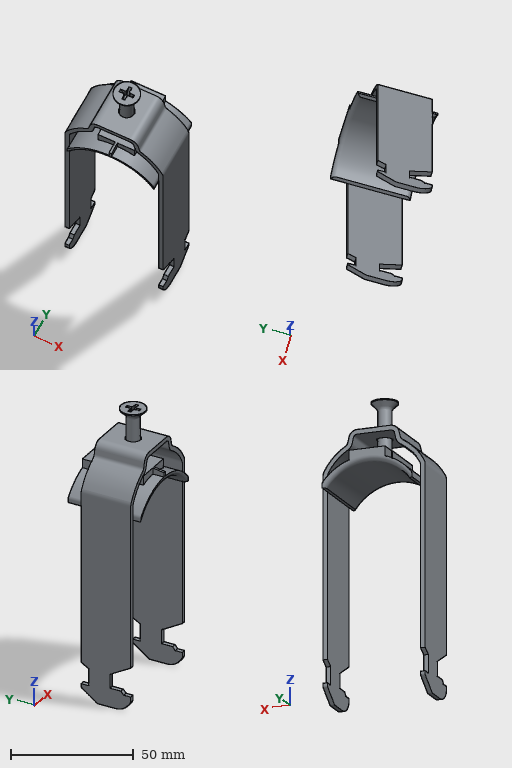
import cadquery as cq
import math


total_height = 128.0
overall_width = 45.0

strap_thickness = 2.0
strap_depth = 23.2
strap_center_y = 0.1
crown_height = 114.0
crown_corner_x = 10.4
neck_lean = 13.0
shoulder_radius = 25.0
shoulder_center_z = 85.9
crown_bend_radius = 3.8
neck_bend_radius = 2.0
leg_bend_radius = 4.6
clearance_hole_diameter = 6.7

leg_half_depth = strap_depth / 2
shank_back_y = 8.0
shank_front_y = -1.9
shank_top_z = 15.2
back_taper_z = 17.3
front_taper_z = 20.7
lip_z = 7.3
step_z = 8.8
step_inner_y = -7.0
step_outer_y = -8.3
toe_arc_y = -4.4
toe_arc_z = 5.0
heel_y = 3.8
heel_z = 5.6
heel_radius = 1.3

saddle_back_y = 19.3
saddle_length = 34.0
saddle_front_y = saddle_back_y - saddle_length
saddle_half_width = 19.8
saddle_crown_z = 100.1
saddle_radius = 25.1
saddle_thickness = 2.4
saddle_bottom_z = 88.3
saddle_rim_radius = 2.0
saddle_corner_radius = 2.2
saddle_axis_z = saddle_crown_z - saddle_radius

block_half_width = 8.3
block_tail_half_width = 8.0
block_front_y = -9.5
block_tail_y = 12.4
block_top_z = 102.9
rib_width = 1.2
rib_tip_z = 102.1

shaft_radius = 3.0
head_radius = 5.6
head_rim = 0.5
neck_fillet = 1.5
recess_half_length = 3.2
recess_arm_width = 1.3
recess_core_radius = 1.3
recess_depth = 3.3
recess_tip_depth = 0.6


def fillet_at(body, axis, u, v, radius):
    """Fillet the straight edge parallel to `axis` that passes through (u, v) on the other two axes."""
    reach = 0.06
    span = total_height
    if axis == "X":
        low, high = (-span, u - reach, v - reach), (span, u + reach, v + reach)
    else:
        low, high = (u - reach, -span, v - reach), (u + reach, span, v + reach)
    return body.edges("|" + axis).edges(cq.selectors.BoxSelector(low, high)).fillet(radius)



def neck_foot():
    """Point where the leaning neck line meets the shoulder circle."""
    lean = math.tan(math.radians(neck_lean))
    reach = crown_corner_x + lean * (crown_height - shoulder_center_z)
    a = 1 + lean ** 2
    b = reach * lean
    c = reach ** 2 - shoulder_radius ** 2
    rise = (b + math.sqrt(b ** 2 - a * c)) / a
    return reach - lean * rise, shoulder_center_z + rise


def strap_envelope():
    """Solid filling the outer outline of the bent strap."""
    half_width = overall_width / 2
    neck_x, neck_z = neck_foot()
    leg_z = shoulder_center_z + math.sqrt(shoulder_radius ** 2 - half_width ** 2)
    neck_angle = math.acos(neck_x / shoulder_radius)
    leg_angle = math.acos(half_width / shoulder_radius)
    middle_angle = (neck_angle + leg_angle) / 2
    arc_x = shoulder_radius * math.cos(middle_angle)
    arc_z = shoulder_center_z + shoulder_radius * math.sin(middle_angle)
    body = (
        cq.Workplane("XZ")
        .moveTo(-half_width, 0)
        .lineTo(-half_width, leg_z)
        .threePointArc((-arc_x, arc_z), (-neck_x, neck_z))
        .lineTo(-crown_corner_x, crown_height)
        .lineTo(crown_corner_x, crown_height)
        .lineTo(neck_x, neck_z)
        .threePointArc((arc_x, arc_z), (half_width, leg_z))
        .lineTo(half_width, 0)
        .close()
        .extrude(leg_half_depth, both=True)
    )
    for side in (-1, 1):
        body = fillet_at(body, "Y", side * crown_corner_x, crown_height, crown_bend_radius)
        body = fillet_at(body, "Y", side * neck_x, neck_z, neck_bend_radius)
        body = fillet_at(body, "Y", side * half_width, leg_z, leg_bend_radius)
    return body


def toe_arc_middle():
    """Middle point of the toe arc, which leaves the flat sole tangentially."""
    run = leg_half_depth + toe_arc_y
    radius = (run ** 2 + toe_arc_z ** 2) / (2 * toe_arc_z)
    half_angle = math.asin(run / radius) / 2
    return toe_arc_y - radius * math.sin(half_angle), radius * (1 - math.cos(half_angle))


def leg_silhouette():
    """Side silhouette with hooked feet, as a solid spanning the whole strap width."""
    body = (
        cq.Workplane("YZ")
        .moveTo(-leg_half_depth, crown_height)
        .lineTo(-leg_half_depth, front_taper_z)
        .lineTo(shank_front_y, shank_top_z)
        .lineTo(shank_front_y, step_z)
        .lineTo(step_inner_y, step_z)
        .lineTo(step_outer_y, lip_z)
        .lineTo(-leg_half_depth, lip_z)
        .lineTo(-leg_half_depth, toe_arc_z)
        .threePointArc(toe_arc_middle(), (toe_arc_y, 0))
        .lineTo(heel_y, 0)
        .lineTo(leg_half_depth, heel_z)
        .lineTo(leg_half_depth, lip_z)
        .lineTo(shank_back_y, lip_z)
        .lineTo(shank_back_y, shank_top_z)
        .lineTo(leg_half_depth, back_taper_z)
        .lineTo(leg_half_depth, crown_height)
        .close()
        .extrude(overall_width, both=True)
    )
    body = fillet_at(body, "X", heel_y, 0, heel_radius)
    return fillet_at(body, "X", leg_half_depth, heel_z, heel_radius)


def make_strap():
    sheet = strap_envelope().faces("<Z or <Y or >Y").shell(-strap_thickness)
    strap = sheet.intersect(leg_silhouette()).translate((0, strap_center_y, 0))
    screw_hole = (
        cq.Workplane("XY", origin=(0, 0, crown_height - strap_thickness))
        .circle(clearance_hole_diameter / 2)
        .extrude(strap_thickness)
    )
    return strap.cut(screw_hole)



def saddle_outline():
    """Solid under the saddle's upper arc, with upright sides and rounded top corners."""
    side_z = saddle_axis_z + math.sqrt(saddle_radius ** 2 - saddle_half_width ** 2)
    body = (
        cq.Workplane("XZ", origin=(0, saddle_back_y, 0))
        .moveTo(-saddle_half_width, saddle_bottom_z)
        .lineTo(-saddle_half_width, side_z)
        .threePointArc((0, saddle_crown_z), (saddle_half_width, side_z))
        .lineTo(saddle_half_width, saddle_bottom_z)
        .close()
        .extrude(saddle_length)
    )
    for side in (-1, 1):
        body = fillet_at(body, "Y", side * saddle_half_width, side_z, saddle_corner_radius)
    return body


def saddle_bore():
    """Cylinder along the saddle that leaves the plate thickness, flaring at both ends."""
    bore_radius = saddle_radius - saddle_thickness
    flare_radius = bore_radius + saddle_rim_radius
    front_rim_y = saddle_front_y + saddle_rim_radius
    back_rim_y = saddle_back_y - saddle_rim_radius
    rim_rise = saddle_rim_radius * math.sqrt(0.5)
    middle_radius = flare_radius - rim_rise
    inset = saddle_rim_radius - rim_rise
    return (
        cq.Workplane("XY")
        .moveTo(0, saddle_front_y)
        .lineTo(flare_radius, saddle_front_y)
        .threePointArc((middle_radius, saddle_front_y + inset), (bore_radius, front_rim_y))
        .lineTo(bore_radius, back_rim_y)
        .threePointArc((middle_radius, saddle_back_y - inset), (flare_radius, saddle_back_y))
        .lineTo(0, saddle_back_y)
        .close()
        .revolve(360, (0, 0), (0, 1))
        .translate((0, 0, saddle_axis_z))
    )


def saddle_block():
    """Block whose back part is slightly narrower, joined by 45 degree steps."""
    step_y = block_tail_y - (block_half_width - block_tail_half_width)
    return (
        cq.Workplane("XY", origin=(0, 0, saddle_bottom_z))
        .moveTo(-block_half_width, block_front_y)
        .lineTo(block_half_width, block_front_y)
        .lineTo(block_half_width, step_y)
        .lineTo(block_tail_half_width, block_tail_y)
        .lineTo(block_tail_half_width, saddle_back_y)
        .lineTo(-block_tail_half_width, saddle_back_y)
        .lineTo(-block_tail_half_width, block_tail_y)
        .lineTo(-block_half_width, step_y)
        .close()
        .extrude(block_top_z - saddle_bottom_z)
    )


def saddle_rib():
    """Rib from the block to the front end, its top sloping down to the tip."""
    return (
        cq.Workplane("YZ")
        .moveTo(saddle_front_y, saddle_bottom_z)
        .lineTo(saddle_front_y, rib_tip_z)
        .lineTo(block_front_y, block_top_z)
        .lineTo(block_front_y, saddle_bottom_z)
        .close()
        .extrude(rib_width / 2, both=True)
    )


def make_saddle():
    return saddle_outline().union(saddle_block()).union(saddle_rib()).cut(saddle_bore())



def cross_recess():
    floor_z = total_height - recess_depth
    arm = (
        cq.Workplane("XZ")
        .moveTo(-recess_half_length, total_height)
        .lineTo(recess_half_length, total_height)
        .lineTo(recess_core_radius, floor_z)
        .lineTo(-recess_core_radius, floor_z)
        .close()
        .extrude(recess_arm_width / 2, both=True)
    )
    core = (
        cq.Workplane("XZ")
        .moveTo(0, total_height)
        .lineTo(recess_core_radius, total_height)
        .lineTo(recess_core_radius, floor_z)
        .lineTo(0, floor_z - recess_tip_depth)
        .close()
        .revolve(360, (0, 0), (0, 1))
    )
    crossing_arm = arm.rotate((0, 0, 0), (0, 0, 1), 90)
    return core.union(arm).union(crossing_arm)


def make_screw():
    rim_z = total_height - head_rim
    neck_z = rim_z - (head_radius - shaft_radius)
    shaft = (
        cq.Workplane("XY", origin=(0, 0, block_top_z))
        .circle(shaft_radius)
        .extrude(neck_z - block_top_z)
    )
    head = (
        cq.Workplane("XZ")
        .moveTo(0, neck_z)
        .lineTo(shaft_radius, neck_z)
        .lineTo(head_radius, rim_z)
        .lineTo(head_radius, total_height)
        .lineTo(0, total_height)
        .close()
        .revolve(360, (0, 0), (0, 1))
    )
    neck_edge = cq.selectors.NearestToPointSelector((0, 0, neck_z))
    screw = shaft.union(head).edges("%CIRCLE").edges(neck_edge).fillet(neck_fillet)
    return screw.cut(cross_recess())


strap = make_strap()
saddle = make_saddle()
screw = make_screw()

bodies = [strap.solids().val(), saddle.solids().val(), screw.solids().val()]
result = cq.Compound.makeCompound(bodies)